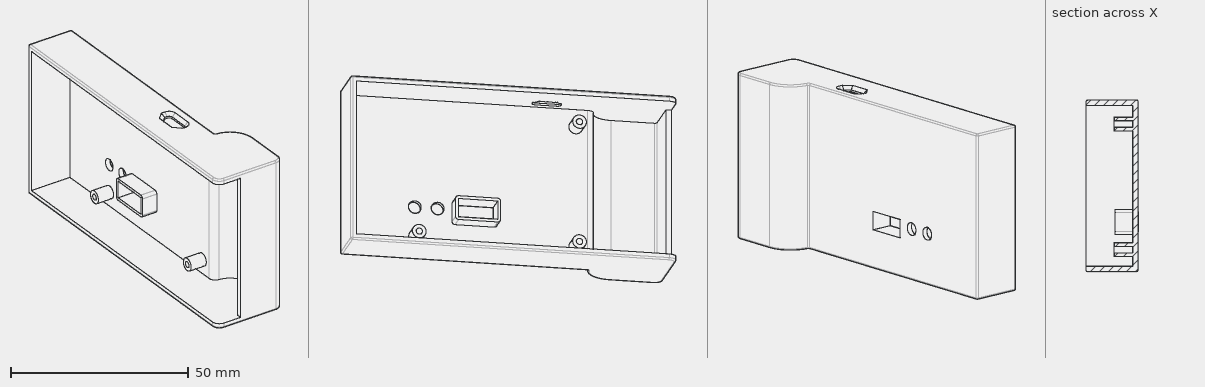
import cadquery as cq
import math

length = 94.2
height = 48.5
depth = 22.5
step_height = 7.7
slim_depth = depth - step_height
wall = 1.6
edge_round = 0.5

corner_radius = 2.4
inner_corner_radius = 0.7
shoulder_radius = 7.9
shoulder_center_x = 79.4
root_radius = 0.5

floor_y = slim_depth - wall
fitting_front_y = 8.0
post_diameter = 4.0
post_hole_diameter = 1.8
left_post_x = 21.4
right_post_x = 67.6
low_post_z = 6.2
high_post_z = 41.7
post_centers = [
    (left_post_x, low_post_z),
    (right_post_x, low_post_z),
    (right_post_x, high_post_z),
]

window_width = 11.3
window_height = 5.4
window_x = 38.4
window_z = 14.0
frame_wall = 0.85
frame_front_y = 8.3

round_hole_diameter = 3.7
round_hole_x = [21.2, 27.8]
round_hole_z = 15.0

port_width = 8.3
port_height = 3.4
port_x = 58.6
port_y = 9.5
port_round = 1.0
port_bevel = 1.5
port_flare = 1.0


def profile(inset):
    """Closed outline, moved inward by `inset` on the left, back and right, with sharp outer corners."""
    right = length - inset
    slim_back = slim_depth - inset
    back = depth - inset
    shoulder = shoulder_radius - inset
    root = root_radius + inset

    shoulder_y = back - shoulder
    root_y = slim_back + root
    rise = root_y - shoulder_y
    root_x = shoulder_center_x - math.sqrt((shoulder + root) ** 2 - rise**2)

    joint_angle = math.atan2(rise, root_x - shoulder_center_x)
    shoulder_mid_angle = (joint_angle + math.pi / 2) / 2
    root_mid_angle = (joint_angle - math.pi - math.pi / 2) / 2

    def on_shoulder(angle):
        return shoulder_center_x + shoulder * math.cos(angle), shoulder_y + shoulder * math.sin(angle)

    root_mid = (root_x + root * math.cos(root_mid_angle), root_y + root * math.sin(root_mid_angle))
    return (
        cq.Workplane("XY")
        .moveTo(inset, 0)
        .lineTo(inset, slim_back)
        .lineTo(root_x, slim_back)
        .threePointArc(root_mid, on_shoulder(joint_angle))
        .threePointArc(on_shoulder(shoulder_mid_angle), (shoulder_center_x, back))
        .lineTo(right, back)
        .lineTo(right, 0)
        .close()
    )


def make_shell():
    """Housing open at the front, with the right wall set back from the two side plates."""
    body = profile(0).extrude(height)
    body = body.edges("|Z and >X").fillet(corner_radius)
    body = body.faces("<Z or >Z or <X").fillet(edge_round)

    inner_height = height - 2 * wall
    cavity = profile(wall).extrude(inner_height)
    cavity = cavity.edges("|Z and >X and >Y").fillet(inner_corner_radius)
    mouth = cq.Workplane("XY").box(length - wall, fitting_front_y, inner_height, centered=False)
    mouth = mouth.translate((wall, 0, 0))
    return body.cut(cavity.union(mouth).translate((0, 0, wall)))


def front_plane(y):
    """Sketch plane parallel to XZ at the given Y; extrusions run toward -Y."""
    return cq.Workplane("XZ", origin=(0, y, 0))


def add_posts(body):
    post_length = floor_y - fitting_front_y
    spots = front_plane(floor_y).pushPoints(post_centers)
    posts = spots.circle(post_diameter / 2).extrude(post_length)
    holes = spots.circle(post_hole_diameter / 2).extrude(post_length)
    return body.union(posts).cut(holes)


def add_window(body):
    frame = (
        front_plane(floor_y)
        .center(window_x, window_z)
        .rect(window_width + 2 * frame_wall, window_height + 2 * frame_wall)
        .extrude(floor_y - frame_front_y)
        .edges("|Y")
        .fillet(frame_wall)
    )
    opening = (
        front_plane(depth)
        .center(window_x, window_z)
        .rect(window_width, window_height)
        .extrude(depth)
    )
    return body.union(frame).cut(opening)


def cut_round_holes(body):
    centers = [(x, round_hole_z) for x in round_hole_x]
    holes = front_plane(depth).pushPoints(centers).circle(round_hole_diameter / 2).extrude(depth)
    return body.cut(holes)


def cut_port(body):
    """Opening with rounded back corners and beveled front corners, flared toward the outside."""
    plug = (
        cq.Workplane("XY", origin=(port_x, port_y, height - 2 * wall))
        .rect(port_width, port_height)
        .extrude(2 * wall)
    )
    plug = plug.edges("|Z and >Y").fillet(port_round)
    plug = plug.edges("|Z and <Y").chamfer(port_bevel)
    body = body.cut(plug)
    rim = cq.selectors.BoxSelector(
        (port_x - port_width, port_y - port_height, height - wall / 4),
        (port_x + port_width, port_y + port_height, height + wall / 4),
    )
    return body.edges(rim).chamfer(port_flare)


result = make_shell()
result = add_posts(result)
result = add_window(result)
result = cut_round_holes(result)
result = cut_port(result)